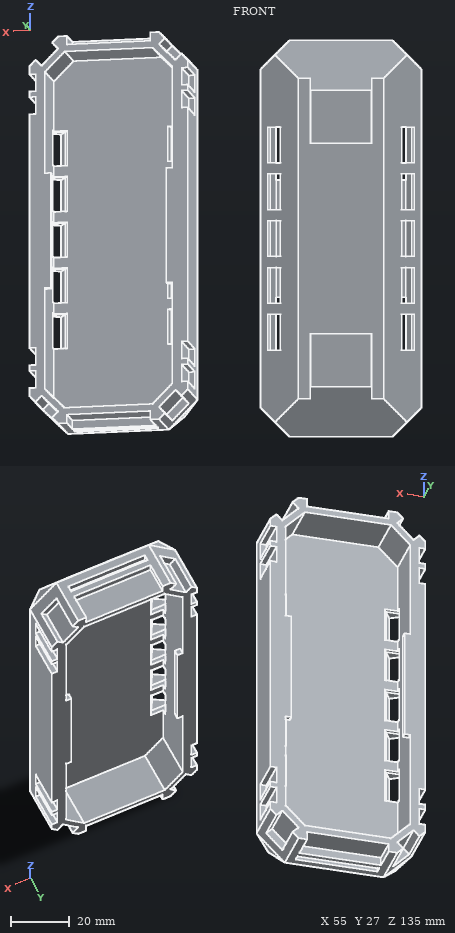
import cadquery as cq
import math

WIDTH = 55.0
LENGTH = 135.0
DEPTH = 27.0
CORNER = 10.0
BACK_Y = DEPTH / 2

TRAY_DEPTH = 17.0
TRAY_WALL = 5.4
TRAY_FLOOR = 1.6
SPLIT_Y = BACK_Y - TRAY_DEPTH

SLOPE_ANGLE = 30.3
COVER_HEIGHT = 7.5
PAD_HEIGHT = DEPTH - TRAY_DEPTH
PAD_WIDTH = 21.0
PAD_INNER_Z = 32.4

VENT_COUNT = 5
VENT_PITCH = 15.9
VENT_LENGTH = 12.2
VENT_WIDTH = 4.9
VENT_CENTRE_X = 22.8
VENT_REACH = 9.5

RECESS_DEPTH = 3.0
END_WIDTH = 28.9
END_RECESS_HEIGHT = 9.5
END_GROOVE_WIDTH = 2.2
END_GROOVE_START = 11.7
NOTCH_HEIGHT = 12.5
SIDE_NOTCH_LENGTH = 6.0
SIDE_NOTCH_CENTRES = (43.7, 51.7)
SIDE_NOTCH_DEPTH = 2.2
CORNER_NOTCH_LENGTH = 8.1

LEDGE_LENGTH = 40.0
LEDGE_WIDTH = 2.0
LEDGE_THICKNESS = 2.0


def box_between(x0, x1, y0, y1, z0, z1):
    """Box given by its limits on each axis."""
    return cq.Workplane("XY").box(x1 - x0, y1 - y0, z1 - z0, centered=False).translate((x0, y0, z0))


def outline_prism(front_y, back_y, inset=0.0):
    """Rectangle with cut corners, moved inwards by inset, running along Y."""
    corner = CORNER - inset * (2 - math.sqrt(2))
    prism = box_between(
        inset - WIDTH / 2, WIDTH / 2 - inset, front_y, back_y, inset - LENGTH / 2, LENGTH / 2 - inset
    )
    return prism.edges("|Y").chamfer(corner)


def sloped_block(height):
    """Block on the split plane whose four sides lean inwards towards -Y."""
    return (
        cq.Workplane("XZ", origin=(0, SPLIT_Y, 0))
        .rect(WIDTH, LENGTH)
        .extrude(height, taper=90 - SLOPE_ANGLE)
    )


def vent_cutters():
    """Slot cutters for both long sloped faces, each square to its face."""
    drop = (WIDTH / 2 - VENT_CENTRE_X) * math.tan(math.radians(SLOPE_ANGLE))
    cutters = []
    for side in (-1, 1):
        for index in range(VENT_COUNT):
            z = (index - (VENT_COUNT - 1) / 2) * VENT_PITCH
            cutter = (
                cq.Workplane("XY")
                .box(VENT_WIDTH, 2 * VENT_REACH, VENT_LENGTH)
                .rotate((0, 0, 0), (0, 0, 1), side * SLOPE_ANGLE)
                .translate((side * VENT_CENTRE_X, SPLIT_Y - drop, z))
            )
            cutters.append(cutter)
    return cutters


def cut_vents(body):
    """Cut the vent slots, which run through both the cover and the tray floor."""
    for cutter in vent_cutters():
        body = body.cut(cutter)
    return body


def end_cutters(end):
    """Rim recess and parallel groove in the end face on the +Z or -Z side."""
    z0, z1 = sorted((end * LENGTH / 2, end * (LENGTH / 2 - RECESS_DEPTH)))
    groove_y = BACK_Y - END_GROOVE_START
    recess = box_between(-END_WIDTH / 2, END_WIDTH / 2, BACK_Y - END_RECESS_HEIGHT, BACK_Y, z0, z1)
    groove = box_between(-END_WIDTH / 2, END_WIDTH / 2, groove_y - END_GROOVE_WIDTH, groove_y, z0, z1)
    return recess.union(groove)


def side_notch(side, z):
    """Notch in a long side, open to the back face."""
    x0, x1 = sorted((side * WIDTH / 2, side * (WIDTH / 2 - SIDE_NOTCH_DEPTH)))
    half = SIDE_NOTCH_LENGTH / 2
    return box_between(x0, x1, BACK_Y - NOTCH_HEIGHT, BACK_Y, z - half, z + half)


def corner_notch(side, end):
    """Notch square to a corner face, open to the back face."""
    return (
        cq.Workplane("XY")
        .box(CORNER_NOTCH_LENGTH, NOTCH_HEIGHT, 2 * RECESS_DEPTH)
        .rotate((0, 0, 0), (0, 1, 0), side * end * 45)
        .translate((
            side * (WIDTH - CORNER) / 2,
            BACK_Y - NOTCH_HEIGHT / 2,
            end * (LENGTH - CORNER) / 2,
        ))
    )


def ledge(side):
    """Ledge along the back edge of a long inner wall."""
    wall_x = WIDTH / 2 - TRAY_WALL
    x0, x1 = sorted((side * wall_x, side * (wall_x - LEDGE_WIDTH)))
    return box_between(x0, x1, BACK_Y - LEDGE_THICKNESS, BACK_Y, -LEDGE_LENGTH / 2, LEDGE_LENGTH / 2)


def make_tray():
    """Rear body: open box with a thin floor, rim notches and inner ledges."""
    tray = outline_prism(SPLIT_Y, BACK_Y)
    tray = tray.cut(outline_prism(SPLIT_Y + TRAY_FLOOR, BACK_Y, TRAY_WALL))
    tray = cut_vents(tray)
    for end in (-1, 1):
        tray = tray.cut(end_cutters(end))
        for side in (-1, 1):
            tray = tray.cut(corner_notch(side, end))
            for z in SIDE_NOTCH_CENTRES:
                tray = tray.cut(side_notch(side, end * z))
    for side in (-1, 1):
        tray = tray.union(ledge(side))
    return tray


def make_cover():
    """Front body: flat-topped sloped block with a raised pad near each end."""
    cover = sloped_block(COVER_HEIGHT)
    for end in (-1, 1):
        z0, z1 = sorted((end * PAD_INNER_Z, end * LENGTH / 2))
        pad_column = box_between(-PAD_WIDTH / 2, PAD_WIDTH / 2, -DEPTH / 2, SPLIT_Y, z0, z1)
        cover = cover.union(sloped_block(PAD_HEIGHT).intersect(pad_column))
    cover = cover.intersect(outline_prism(-DEPTH / 2, SPLIT_Y))
    return cut_vents(cover)


tray = make_tray()
cover = make_cover()
result = cq.Compound.makeCompound([tray.solids().val(), cover.solids().val()])